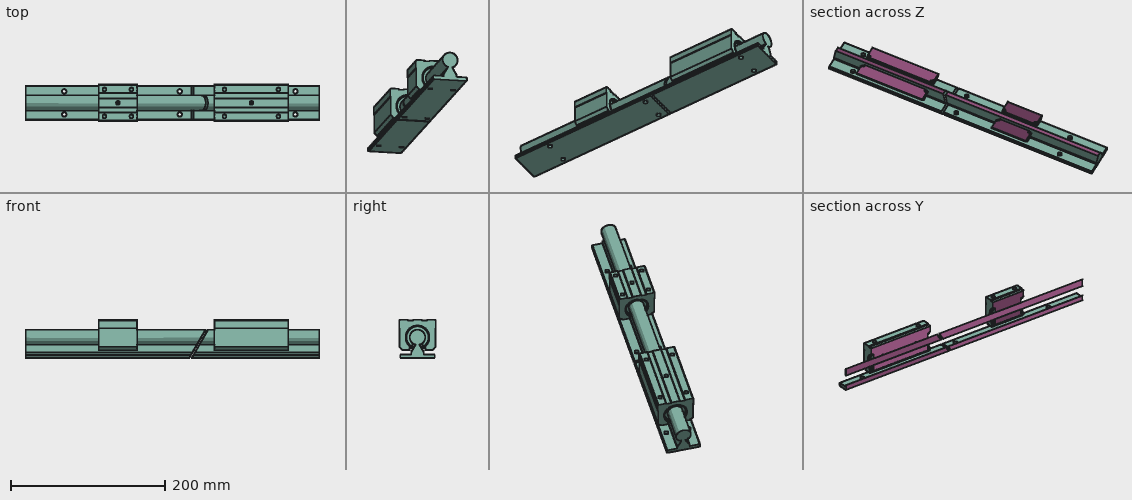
import cadquery as cq
import math

rail_length = 381.09
shaft_diameter = 20.0
shaft_height = 27.0
base_width = 45.0
base_thickness = 5.0
base_chamfer = 1.0
shoulder_width = 16.8
shoulder_height = 7.6
flank_angle = 30.0
rail_hole_diameter = 5.5
rail_hole_spacing = 30.0
rail_hole_pitch = 150.0
first_rail_hole = 50.0
rail_hole_count = 3

break_start = 212.2
break_gap = 3.1
break_angle = 30.0

block_width = 48.0
block_top = 50.0
block_bottom = 10.5
top_chamfer = 1.2
bottom_chamfer = 4.0
shoulder_drop = 11.0
side_step = 0.5
top_groove_offset = 9.2
top_groove_mouth = 7.7
top_groove_floor = 6.0
top_groove_depth = 1.0
bore_mouth_diameter = 31.0
bore_mouth_depth = 1.5
bore_recess_diameter = 28.5
bore_recess_depth = 4.0
outer_slot_width = 20.4
outer_slot_top = 13.0
inner_slot_width = 12.6
screw_hole_diameter = 5.0
screw_hole_depth = 12.0
drill_point_angle = 118.0
screw_spacing_across = 35.0
oil_hole_mouth_diameter = 5.0
oil_hole_mouth_depth = 6.0
oil_hole_diameter = 3.0
oil_hole_depth = 10.0

short_block_length = 50.0
short_block_center = 119.7
short_screw_spacing = 35.0
long_block_length = 96.0
long_block_center = 293.0
long_screw_spacing = 70.0

shaft_radius = shaft_diameter / 2
shaft_top = shaft_height + shaft_radius


def mirrored(half_outline, apex=()):
    """Full outline from a half with Y > 0, listed bottom to top, and an optional apex on Y = 0."""
    return half_outline + list(apex) + [(-y, z) for y, z in reversed(half_outline)]


def cylinder_x(diameter, start, end):
    """Cylinder on the shaft axis between two X positions."""
    disc = cq.Workplane("YZ", origin=(start, 0, shaft_height)).circle(diameter / 2)
    return disc.extrude(end - start)


def make_full_rail():
    apex_z = shoulder_height + shoulder_width / 2 / math.tan(math.radians(flank_angle))
    half_outline = [
        (base_width / 2 - base_chamfer, 0),
        (base_width / 2, base_chamfer),
        (base_width / 2, base_thickness - base_chamfer),
        (base_width / 2 - base_chamfer, base_thickness),
        (shoulder_width / 2, base_thickness),
        (shoulder_width / 2, shoulder_height),
    ]
    outline = mirrored(half_outline, [(0, apex_z)])
    support = cq.Workplane("YZ").polyline(outline).close().extrude(rail_length)
    rail = support.union(cylinder_x(shaft_diameter, 0, rail_length))
    hole_points = [
        (first_rail_hole + i * rail_hole_pitch, side * rail_hole_spacing / 2)
        for i in range(rail_hole_count)
        for side in (-1, 1)
    ]
    holes = cq.Workplane("XY").pushPoints(hole_points).circle(rail_hole_diameter / 2)
    return rail.cut(holes.extrude(base_thickness))


def slanted_slab(bottom_start, bottom_end):
    """Full-width slab whose two ends lean at the break angle."""
    lean = shaft_top * math.tan(math.radians(break_angle))
    outline = [
        (bottom_start, 0),
        (bottom_end, 0),
        (bottom_end + lean, shaft_top),
        (bottom_start + lean, shaft_top),
    ]
    return cq.Workplane("XZ").polyline(outline).close().extrude(base_width / 2, both=True)


def make_left_rail():
    return make_full_rail().cut(slanted_slab(break_start, rail_length))


def make_right_rail():
    return make_full_rail().cut(slanted_slab(-rail_length, break_start + break_gap))


def drilled_hole(x, y, diameter, depth):
    """Blind hole from the block's top face, with a conical drill point below its full depth."""
    radius = diameter / 2
    point_depth = depth + radius / math.tan(math.radians(drill_point_angle / 2))
    half_section = [(0, 0), (radius, 0), (radius, -depth), (0, -point_depth)]
    axis_plane = cq.Workplane("XZ", origin=(x, y, block_top))
    return axis_plane.polyline(half_section).close().revolve(360, (0, 0), (0, 1))


def make_block(length, center, screw_spacing):
    start = center - length / 2
    end = center + length / 2
    half_width = block_width / 2
    lower_half_width = half_width - side_step
    step_z = block_top - shoulder_drop
    groove_floor_z = block_top - top_groove_depth
    half_outline = [
        (lower_half_width - bottom_chamfer, block_bottom),
        (lower_half_width, block_bottom + bottom_chamfer),
        (lower_half_width, step_z - side_step),
        (half_width, step_z),
        (half_width, block_top - top_chamfer),
        (half_width - top_chamfer, block_top),
        (top_groove_offset + top_groove_mouth / 2, block_top),
        (top_groove_offset + top_groove_floor / 2, groove_floor_z),
        (top_groove_offset - top_groove_floor / 2, groove_floor_z),
        (top_groove_offset - top_groove_mouth / 2, block_top),
    ]
    profile = cq.Workplane("YZ", origin=(start, 0, 0)).polyline(mirrored(half_outline)).close()
    block = profile.extrude(length)

    block = block.cut(cylinder_x(shaft_diameter, start, end))
    for diameter, depth in (
        (bore_mouth_diameter, bore_mouth_depth),
        (bore_recess_diameter, bore_recess_depth),
    ):
        block = block.cut(cylinder_x(diameter, start, start + depth))
        block = block.cut(cylinder_x(diameter, end - depth, end))

    for width, top in ((outer_slot_width, outer_slot_top), (inner_slot_width, shaft_height)):
        slot = cq.Workplane("XY", origin=(center, 0, 0)).rect(length, width).extrude(top)
        block = block.cut(slot)

    for x in (center - screw_spacing / 2, center + screw_spacing / 2):
        for y in (-screw_spacing_across / 2, screw_spacing_across / 2):
            block = block.cut(drilled_hole(x, y, screw_hole_diameter, screw_hole_depth))
    oil_hole_mouth = (
        cq.Workplane("XY", origin=(center, 0, block_top))
        .circle(oil_hole_mouth_diameter / 2)
        .extrude(-oil_hole_mouth_depth)
    )
    oil_hole = drilled_hole(center, 0, oil_hole_diameter, oil_hole_depth)
    return block.cut(oil_hole_mouth).cut(oil_hole)


left_rail = make_left_rail()
right_rail = make_right_rail()
short_block = make_block(short_block_length, short_block_center, short_screw_spacing)
long_block = make_block(long_block_length, long_block_center, long_screw_spacing)

result = cq.Compound.makeCompound(
    [left_rail.val(), right_rail.val(), short_block.val(), long_block.val()]
)